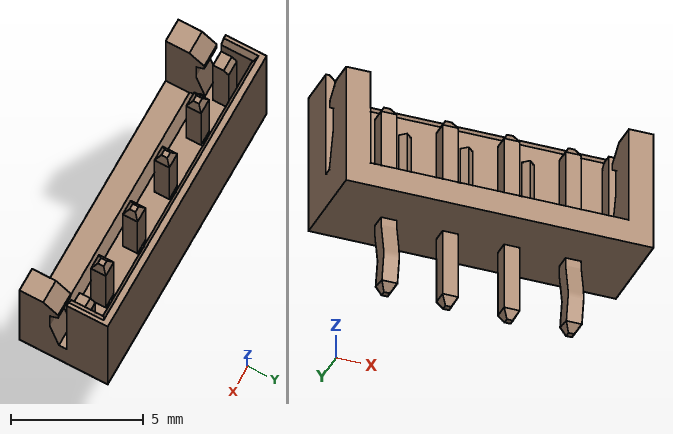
import cadquery as cq


length = 12.5
depth = 3.8
shroud_height = 6.0
floor_z = 1.5
sill_z = 1.01
sill_depth = 1.02
sill_slope_end = 1.51
back_wall = 0.42
side_wall = 0.36
rim_back_chamfer = 0.16
rim_back_chamfer_height = 0.3
rim_side_chamfer = 0.21
shroud_front = 2.04

arm_width = 1.0
arm_top = 5.11
arm_flat_depth = 1.02
nose_y = 1.66
nose_top = 4.55
nose_bottom = 4.28
neck_y = 1.31
neck_top = 4.02
neck_bottom = 3.01
slot_front = 1.7
post_back = 2.71
post_chamfer = 0.21

rib_width = 0.5
rib_depth = 0.22
rib_top = 4.92

pin_count = 4
pitch = 2.5
pin_size = 0.64
pin_y = 2.2
tip_size = 0.25
pin_top = arm_top
pin_top_shoulder = 4.78
pin_bottom = -3.21
pin_bottom_shoulder = -2.84

bend_start_front = -0.34
bend_start_back = -0.42
knee_z = -1.75
knee_front = 1.6
knee_back = 2.26
knee_radius = pin_size
tail_end_front = (1.8, -2.89)
tail_end_back = (2.45, -2.79)

half_length = length / 2
arm_inner = half_length - arm_width
cavity_half = half_length - side_wall
cavity_back = depth - back_wall
pin_front = pin_y - pin_size / 2
pin_back = pin_y + pin_size / 2


def extrude_along_x(points, x_start, x_end):
    """Extrude a (Y, Z) outline from x_start to x_end."""
    return cq.Workplane("YZ", origin=(x_start, 0, 0)).polyline(points).close().extrude(x_end - x_start)


def block(x_range, y_range, z_range):
    """Axis-aligned box given by its limits."""
    size = [limits[1] - limits[0] for limits in (x_range, y_range, z_range)]
    corner = (x_range[0], y_range[0], z_range[0])
    return cq.Workplane("XY").box(*size, centered=False).translate(corner)


def ruled_solid(bottom, top):
    """Straight-sided solid between two closed 3D polygons."""
    wires = [cq.Wire.makePolygon([cq.Vector(*p) for p in ring], close=True) for ring in (bottom, top)]
    return cq.Workplane(cq.Solid.makeLoft(wires, True))


def rectangle(x_half, x_center, front, back):
    """Rectangle ring, where front and back are the (Y, Z) places of its two long edges."""
    left = x_center - x_half
    right = x_center + x_half
    return [(left, *front), (right, *front), (right, *back), (left, *back)]


def make_tray():
    outline = [
        (0, 0),
        (0, sill_z),
        (sill_depth, sill_z),
        (sill_slope_end, floor_z),
        (cavity_back, floor_z),
        (cavity_back, shroud_height),
        (depth, shroud_height),
        (depth, 0),
    ]
    return extrude_along_x(outline, -arm_inner, arm_inner)


def make_end(x_start, x_end):
    """One housing end: latch arm, slot and side wall as a single profile."""
    outline = [
        (0, 0),
        (0, arm_top),
        (arm_flat_depth, arm_top),
        (nose_y, nose_top),
        (nose_y, nose_bottom),
        (neck_y, neck_top),
        (neck_y, neck_bottom),
        (slot_front, floor_z),
        (shroud_front, floor_z),
        (shroud_front, shroud_height),
        (depth, shroud_height),
        (depth, 0),
    ]
    return extrude_along_x(outline, x_start, x_end)


def make_end_recess():
    """Cavity inside both ends, leaving a guide post with a chamfered back edge beside each side wall."""
    outline = [
        (post_back, floor_z),
        (post_back, arm_top - post_chamfer),
        (post_back - post_chamfer, arm_top),
        (shroud_front, arm_top),
        (shroud_front, shroud_height),
        (cavity_back, shroud_height),
        (cavity_back, floor_z),
    ]
    return extrude_along_x(outline, -cavity_half, cavity_half)


def make_rim_chamfer():
    """Flared opening above the guide posts that bevels the rim, with mitred corners."""
    back_outline = [
        (shroud_front, arm_top),
        (cavity_back, arm_top),
        (cavity_back, shroud_height - rim_back_chamfer_height),
        (cavity_back + rim_back_chamfer, shroud_height),
        (shroud_front, shroud_height),
    ]
    side_outline = [
        (-cavity_half, arm_top),
        (-cavity_half, shroud_height - rim_side_chamfer),
        (-cavity_half - rim_side_chamfer, shroud_height),
        (cavity_half + rim_side_chamfer, shroud_height),
        (cavity_half, shroud_height - rim_side_chamfer),
        (cavity_half, arm_top),
    ]
    back_flare = extrude_along_x(back_outline, -half_length, half_length)
    side_flare = cq.Workplane("XZ").polyline(side_outline).close().extrude(-depth)
    return back_flare.intersect(side_flare)


def make_rib(x):
    """Triangular vertical rib pointing away from the back wall."""
    outline = [
        (x - rib_width / 2, cavity_back),
        (x, cavity_back - rib_depth),
        (x + rib_width / 2, cavity_back),
    ]
    return cq.Workplane("XY", origin=(0, 0, floor_z)).polyline(outline).close().extrude(rib_top - floor_z)


def make_tip(x, shoulder_front, shoulder_back, end_z):
    """Pyramid-shaped tip from a pin shoulder to a small square end."""
    shoulder = rectangle(pin_size / 2, x, shoulder_front, shoulder_back)
    end = rectangle(tip_size / 2, x, (pin_y - tip_size / 2, end_z), (pin_y + tip_size / 2, end_z))
    return ruled_solid(shoulder, end)


def make_upper_pin(x):
    x_range = (x - pin_size / 2, x + pin_size / 2)
    shank = block(x_range, (pin_front, pin_back), (0, pin_top_shoulder))
    tip = make_tip(x, (pin_front, pin_top_shoulder), (pin_back, pin_top_shoulder), pin_top)
    return shank.union(tip)


def make_straight_tail(x):
    x_range = (x - pin_size / 2, x + pin_size / 2)
    shank = block(x_range, (pin_front, pin_back), (pin_bottom_shoulder, 0))
    tip = make_tip(x, (pin_front, pin_bottom_shoulder), (pin_back, pin_bottom_shoulder), pin_bottom)
    return shank.union(tip)


def make_bent_tail(x):
    """Tail kinked toward the front, with a rounded outer knee."""
    outline = [
        (pin_front, 0),
        (pin_front, bend_start_front),
        (knee_front, knee_z),
        tail_end_front,
        tail_end_back,
        (knee_back, knee_z),
        (pin_back, bend_start_back),
        (pin_back, 0),
    ]
    shank = extrude_along_x(outline, x - pin_size / 2, x + pin_size / 2)
    knee_edge = cq.selectors.NearestToPointSelector((x, knee_front, knee_z))
    shank = shank.edges("|X").edges(knee_edge).fillet(knee_radius)
    return shank.union(make_tip(x, tail_end_front, tail_end_back, pin_bottom))


housing = make_tray()
housing = housing.union(make_end(-half_length, -arm_inner))
housing = housing.union(make_end(arm_inner, half_length))
housing = housing.cut(make_end_recess())
housing = housing.cut(make_rim_chamfer())

pin_places = [(i - (pin_count - 1) / 2) * pitch for i in range(pin_count)]

for pin_x in pin_places[:-1]:
    housing = housing.union(make_rib(pin_x + pitch / 2))

result = housing
for pin_x in pin_places:
    is_outer = pin_x in (pin_places[0], pin_places[-1])
    tail = make_bent_tail(pin_x) if is_outer else make_straight_tail(pin_x)
    result = result.union(make_upper_pin(pin_x)).union(tail)